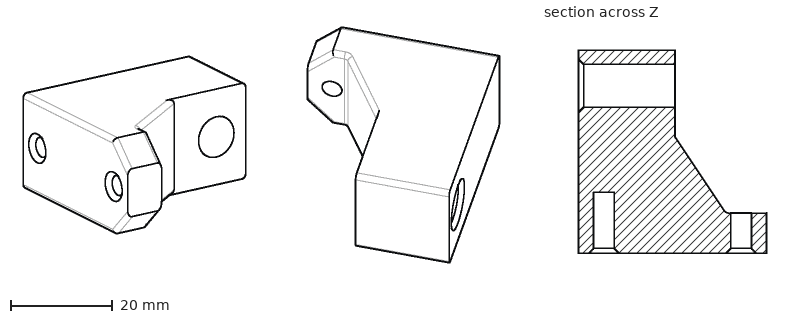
import cadquery as cq

length = 37.0
depth = 40.0
height = 20.0
mid_height = height / 2

block_length = 19.0
flange_thickness = 8.0
shoulder_run = 10.0
shoulder_rise = 15.0
shoulder_radius = 1.0

nose_chamfer = 5.0
edge_radius = 1.0
selection_margin = 0.4

small_hole_diameter = 4.0
small_countersink = 1.0
blind_hole_x = 5.0
blind_hole_depth = 12.0
flange_hole_x = length - nose_chamfer
cross_hole_diameter = 8.4
cross_countersink = 1.0
cross_hole_y = depth - 7.0


def make_body():
    """L-shaped block with a sloping shoulder and a chamfered flange nose."""
    shoulder_end = block_length + shoulder_run
    outline = [
        (0, 0),
        (length, 0),
        (length, flange_thickness),
        (shoulder_end, flange_thickness),
        (block_length, flange_thickness + shoulder_rise),
        (block_length, depth),
        (0, depth),
    ]
    body = cq.Workplane("XY").polyline(outline).close().extrude(height)
    shoulder_corner = cq.selectors.NearestToPointSelector((shoulder_end, flange_thickness, mid_height))
    body = body.edges("|Z").edges(shoulder_corner).fillet(shoulder_radius)
    return body.faces(">X").edges("|Y").chamfer(nose_chamfer)


def round_long_edges(body):
    """Round the edges of the front, back and flange faces, leaving the end faces sharp."""
    front = body.faces("<Y").edges("not |Z")
    back = body.faces(">Y").edges("|X")
    flange_back_and_nose = body.edges(
        cq.selectors.BoxSelector(
            (block_length + edge_radius, flange_thickness - selection_margin, -selection_margin),
            (length - selection_margin, flange_thickness + shoulder_rise, height + selection_margin),
        )
    ).edges("not |Z").edges("not |Y")
    return front.add(back).add(flange_back_and_nose).fillet(edge_radius)


def countersunk_hole(plane, diameter, hole_depth, countersink):
    """Cutter with a 45 degree countersink, starting at the plane origin along its normal."""
    radius = diameter / 2
    hole = cq.Workplane(plane).circle(radius).extrude(hole_depth)
    cone = cq.Solid.makeCone(radius + countersink, radius, countersink, plane.origin, plane.zDir)
    return hole.union(cone)


def front_hole(x, hole_depth):
    """Small hole drilled from the front face along +Y."""
    plane = cq.Plane(origin=(x, 0, mid_height), xDir=(1, 0, 0), normal=(0, 1, 0))
    return countersunk_hole(plane, small_hole_diameter, hole_depth, small_countersink)


def cross_hole():
    """Large hole through the thick block along X."""
    plane = cq.Plane(origin=(0, cross_hole_y, mid_height), xDir=(0, 1, 0), normal=(1, 0, 0))
    return countersunk_hole(plane, cross_hole_diameter, block_length, cross_countersink)


result = (
    round_long_edges(make_body())
    .cut(front_hole(blind_hole_x, blind_hole_depth))
    .cut(front_hole(flange_hole_x, flange_thickness))
    .cut(cross_hole())
)